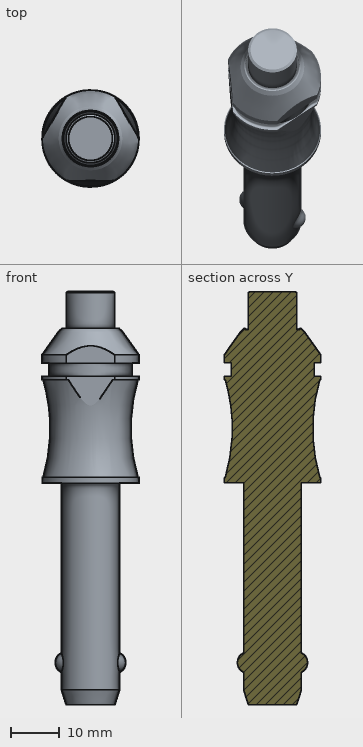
import cadquery as cq

total_height = 85.1
tip_height = 3.1
ball_height = 8.7
grip_bottom = 45.6
waist_height = 56.85
waist_half_length = 10.0
groove_bottom = 67.65
groove_top = 70.3
shoulder_bottom = 72.0
collar_bevel_bottom = 76.85
collar_top = 77.5

shank_radius = 6.0
tip_radius = 5.0
grip_radius = 10.0
grip_curve_end_radius = 9.8
waist_radius = 8.3
groove_radius = 8.6
collar_bevel_radius = 6.55
collar_top_radius = 5.8
recess_radius = 5.5
button_radius = 5.0

recess_depth = 0.25

button_chamfer_height = 0.25
button_chamfer_width = 0.5

ball_radius = 2.2
ball_protrusion = 1.3

flat_count = 3
flat_distance = grip_radius * 3**0.5 / 2


def revolved_body():
    """Shank, waisted grip, grooved collar, ring recess and push button as one revolved outline."""
    lower_curve_end = waist_height - waist_half_length
    upper_curve_end = waist_height + waist_half_length
    return (
        cq.Workplane("XZ")
        .lineTo(tip_radius, 0)
        .lineTo(shank_radius, tip_height)
        .lineTo(shank_radius, grip_bottom)
        .lineTo(grip_radius, grip_bottom)
        .lineTo(grip_radius, lower_curve_end)
        .lineTo(grip_curve_end_radius, lower_curve_end)
        .threePointArc((waist_radius, waist_height), (grip_curve_end_radius, upper_curve_end))
        .lineTo(grip_radius, upper_curve_end)
        .lineTo(grip_radius, groove_bottom)
        .lineTo(groove_radius, groove_bottom)
        .lineTo(groove_radius, groove_top)
        .lineTo(grip_radius, groove_top)
        .lineTo(grip_radius, shoulder_bottom)
        .lineTo(collar_bevel_radius, collar_bevel_bottom)
        .lineTo(collar_top_radius, collar_top)
        .lineTo(recess_radius, collar_top)
        .lineTo(recess_radius, collar_top - recess_depth)
        .lineTo(button_radius, collar_top - recess_depth)
        .lineTo(button_radius, total_height - button_chamfer_height)
        .lineTo(button_radius - button_chamfer_width, total_height)
        .lineTo(0, total_height)
        .close()
        .revolve(360, (0, 0, 0), (0, 1, 0))
    )


def flat_cutter(angle):
    """Block beyond one flat, reaching from the waist to the collar top."""
    return (
        cq.Workplane("XY")
        .workplane(offset=waist_height)
        .center(0, -(flat_distance + grip_radius) / 2)
        .rect(2 * grip_radius, grip_radius - flat_distance)
        .extrude(collar_top - waist_height)
        .rotate((0, 0, 0), (0, 0, 1), angle)
    )


def locking_ball(side):
    """Ball on the +X (side = 1) or -X (side = -1) flank of the shank."""
    center_x = shank_radius + ball_protrusion - ball_radius
    return cq.Workplane("XY").sphere(ball_radius).translate((side * center_x, 0, ball_height))


result = revolved_body()

for index in range(flat_count):
    result = result.cut(flat_cutter(index * 360 / flat_count))

for side in (-1, 1):
    result = result.union(locking_ball(side))